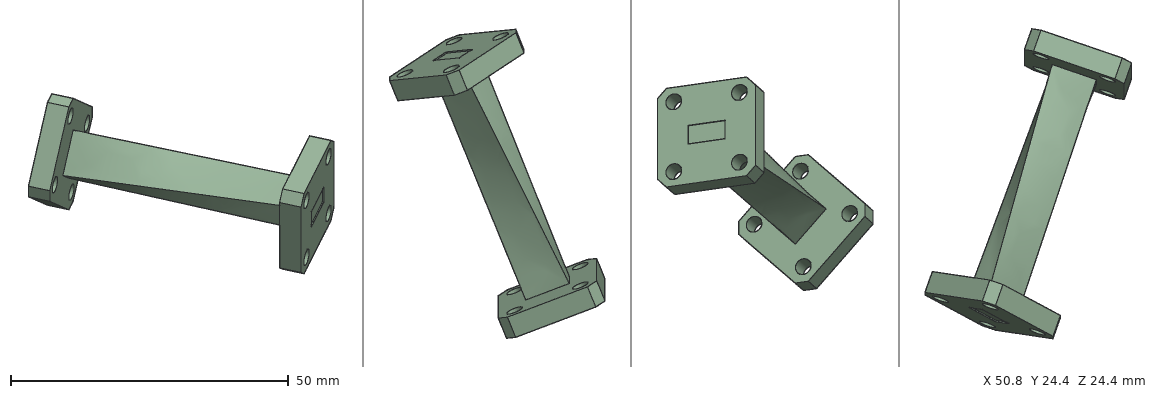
import cadquery as cq

total_length = 50.8
twist_angle = 45.0

flange_side = 19.05
flange_thickness = 4.05
corner_chamfer = 1.8
hole_diameter = 3.0
hole_pitch_wide = 12.7
hole_pitch_narrow = 13.45

bore_width = 7.1
bore_height = 3.55
core_recess = 0.25
wall_thickness = 0.65
tube_width = bore_width + 2 * wall_thickness
tube_height = bore_height + 2 * wall_thickness


def end_plane(x, angle):
    """Plane facing +X at x, its local X axis turned by angle from +Y towards +Z."""
    return cq.Plane(origin=(x, 0, 0), xDir=(0, 1, 0), normal=(1, 0, 0)).rotated((0, 0, angle))


def make_flange(plane):
    """Chamfered square plate with four screw holes, grown from the plane towards +X."""
    plate = (
        cq.Workplane(plane)
        .rect(flange_side, flange_side)
        .extrude(flange_thickness)
        .edges("|X")
        .chamfer(corner_chamfer)
    )
    holes = (
        cq.Workplane(plane)
        .rect(hole_pitch_wide, hole_pitch_narrow, forConstruction=True)
        .vertices()
        .circle(hole_diameter / 2)
        .extrude(flange_thickness)
    )
    return plate.cut(holes)


def make_straight_bar(plane, width, height):
    """Untwisted rectangular bar running through one flange."""
    return cq.Workplane(plane).rect(width, height).extrude(flange_thickness)


def make_twisted_bar(start_plane, finish_plane, width, height):
    """Rectangular bar with straight corner edges joining two turned rectangles."""
    start_wire = cq.Workplane(start_plane).rect(width, height).wires().val()
    finish_wire = cq.Workplane(finish_plane).rect(width, height).wires().val()
    return cq.Workplane(cq.Solid.makeLoft([start_wire, finish_wire], True))


left_outer = end_plane(0, twist_angle)
left_inner = end_plane(flange_thickness, twist_angle)
right_inner = end_plane(total_length - flange_thickness, 0)


def make_bore():
    """Full-length rectangular channel: straight in the flanges, twisted between them."""
    twisted = make_twisted_bar(left_inner, right_inner, bore_width, bore_height)
    left_end = make_straight_bar(left_outer, bore_width, bore_height)
    right_end = make_straight_bar(right_inner, bore_width, bore_height)
    return twisted.union(left_end).union(right_end)


def make_core(bore):
    """Solid fill of the bore, set back slightly from both flange faces."""
    core_length = total_length - 2 * core_recess
    kept_length = (
        cq.Workplane("YZ", origin=(core_recess, 0, 0))
        .rect(flange_side, flange_side)
        .extrude(core_length)
    )
    return bore.intersect(kept_length)


def make_waveguide(bore):
    """Twisted tube with a flange at each end, opened by the bore."""
    tube = make_twisted_bar(left_inner, right_inner, tube_width, tube_height)
    body = tube.union(make_flange(left_outer)).union(make_flange(right_inner))
    return body.cut(bore)


bore = make_bore()
waveguide = make_waveguide(bore)
core = make_core(bore)

result = cq.Compound.makeCompound([waveguide.solids().val(), core.solids().val()])